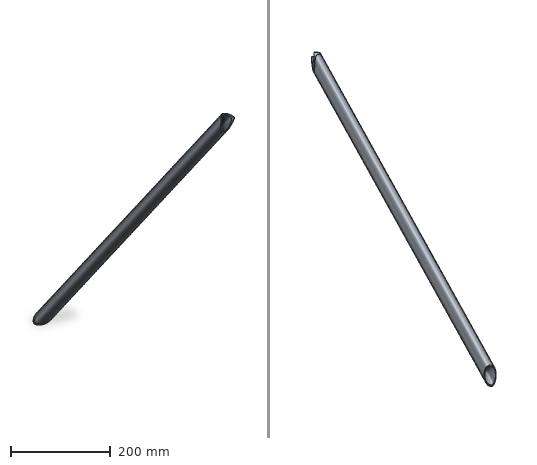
import cadquery as cq
import math

tube_radius = 15.0
wall = 2.0
run_x = 0.6848
run_y = 0.2233
seam_angle = 60.0

saddle_clearance = 0.05
saddle_radius = tube_radius + saddle_clearance
upper_reach = 388.8
upper_slope = 41.5

lower_reach = 364.2
lower_slope = 49.8
lower_bearing = -76.6
lower_spread = 9.25

blank_margin = 4 * tube_radius
cutter_size = 12 * tube_radius


def rod(radius):
    """Overlong straight rod along local Z, reaching past both end cuts."""
    length = lower_reach + upper_reach + 2 * blank_margin
    start = cq.Vector(0, 0, -lower_reach - blank_margin)
    return cq.Solid.makeCylinder(radius, length, start, cq.Vector(0, 0, 1))


def tilted_frame(height, slope, bearing):
    """Frame on the tube axis, its X axis climbing at `slope` towards `bearing`."""
    tilt = math.radians(slope)
    turn = math.radians(bearing)
    uphill = (
        math.cos(tilt) * math.cos(turn),
        math.cos(tilt) * math.sin(turn),
        math.sin(tilt),
    )
    normal = (
        -math.sin(tilt) * math.cos(turn),
        -math.sin(tilt) * math.sin(turn),
        math.cos(tilt),
    )
    return cq.Plane(origin=(0, 0, height), xDir=uphill, normal=normal)


def oblique_block(frame, depth):
    """Block on one side of the frame plane: above for positive depth, below for negative."""
    return cq.Workplane(frame).rect(cutter_size, cutter_size).extrude(depth).val()


def cut_upper_saddle(body):
    """Trim the body at the plane of the upper tube axis, then remove the upper tube itself."""
    frame = tilted_frame(upper_reach, upper_slope, 0)
    start = frame.origin - frame.xDir * (cutter_size / 2)
    upper_tube = cq.Solid.makeCylinder(saddle_radius, cutter_size, start, frame.xDir)
    return body.cut(oblique_block(frame, cutter_size)).cut(upper_tube)


def cut_lower_wedge(body):
    """Two flat cuts of equal slope, turned to either side of the mean bearing."""
    for side in (-1, 1):
        frame = tilted_frame(-lower_reach, lower_slope, lower_bearing + side * lower_spread)
        body = body.cut(oblique_block(frame, -cutter_size))
    return body


def brace_plane():
    """Local frame with Z along the brace axis and X in the saddle's symmetry plane."""
    axis = cq.Vector(run_x, run_y, 1).normalized()
    level = cq.Vector(0, 0, 1).cross(axis).normalized()
    upward = axis.cross(level)
    turn = math.radians(seam_angle)
    saddle_direction = level * math.cos(turn) + upward * math.sin(turn)
    return cq.Plane(origin=(0, 0, 0), xDir=saddle_direction, normal=axis)


trimmed_rod = cut_lower_wedge(cut_upper_saddle(rod(tube_radius)))
brace = trimmed_rod.cut(rod(tube_radius - wall))
placed_brace = brace.moved(cq.Location(brace_plane()))
result = cq.Workplane("XY").newObject([placed_brace.Solids()[0]])